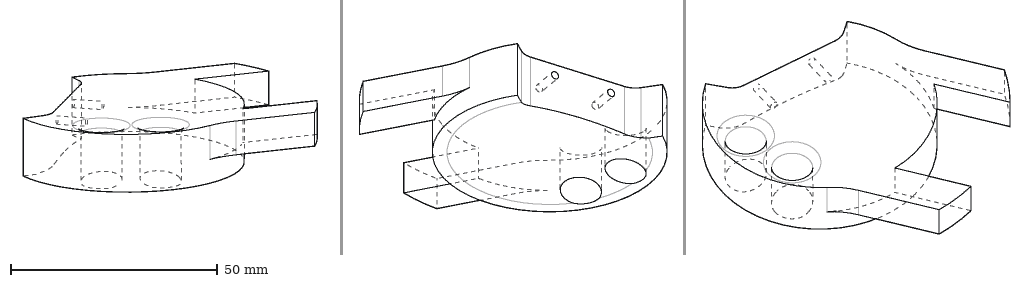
import cadquery as cq
import math

body_radius = 28.49
body_height = 14.5

arm_thickness = 8.5
arm_tip_radius = 46.2
arm_inner_offset = 14.95
arm_outer_offset = 24.9
arm_turn = -5.0
arm_blend_radius = 20.0

notch_reach_x = 22.9
notch_reach_y = 20.8
notch_corner_radius = 5.0

bore_diameter = 10.0
bore_rim_radius = 2.0
bore_circle_radius = 21.05
bore_angles = (-5.0, -45.0)

pin_diameter = 2.0
pin_spacing = 16.0
pin_depth_below_top = 3.0
pin_hole_depth = 7.3

hollow_rim_radius = 24.9
hollow_depth = 2.85

overcut = 0.7


def make_arm(side):
    """One arm with its concave blend into the disc; side is -1 or +1 along X."""
    blend_x = arm_outer_offset + arm_blend_radius
    blend_distance = body_radius + arm_blend_radius
    blend_y = math.sqrt(blend_distance**2 - blend_x**2)
    disc_share = body_radius / blend_distance
    disc_point = (side * blend_x * disc_share, blend_y * disc_share)

    middle_angle = math.pi + math.atan2(blend_y, blend_x) / 2
    blend_middle = (
        side * (blend_x + arm_blend_radius * math.cos(middle_angle)),
        blend_y + arm_blend_radius * math.sin(middle_angle),
    )
    tip_outer_y = math.sqrt(arm_tip_radius**2 - arm_outer_offset**2)
    tip_inner_y = math.sqrt(arm_tip_radius**2 - arm_inner_offset**2)
    outer_angle = math.atan2(tip_outer_y, arm_outer_offset)
    inner_angle = math.atan2(tip_inner_y, arm_inner_offset)
    tip_angle = (outer_angle + inner_angle) / 2
    tip_middle = (
        side * arm_tip_radius * math.cos(tip_angle),
        arm_tip_radius * math.sin(tip_angle),
    )
    return (
        cq.Workplane("XY", origin=(0, 0, body_height - arm_thickness))
        .moveTo(*disc_point)
        .threePointArc(blend_middle, (side * arm_outer_offset, blend_y))
        .lineTo(side * arm_outer_offset, tip_outer_y)
        .threePointArc(tip_middle, (side * arm_inner_offset, tip_inner_y))
        .lineTo(side * arm_inner_offset, disc_point[1])
        .close()
        .extrude(arm_thickness)
        .rotate((0, 0, 0), (0, 0, 1), arm_turn)
    )


def make_notch():
    """Cutter whose oblique face meets the two axis-aligned faces in rounded corners."""
    outside = -(body_radius + overcut)
    return (
        cq.Workplane("XY")
        .polyline([(outside, 0), (-notch_reach_x, 0), (0, -notch_reach_y), (0, outside), (outside, outside)])
        .close()
        .extrude(body_height)
        .edges(cq.selectors.BoxSelector(
            (-notch_reach_x - overcut, -notch_reach_y - overcut, 0),
            (overcut, overcut, body_height),
        ))
        .edges("|Z")
        .fillet(notch_corner_radius)
    )


def make_bore(angle):
    """Through bore that flares at the top along a quarter-round rim."""
    radius = bore_diameter / 2
    rim_bottom = body_height - bore_rim_radius
    arc_offset = bore_rim_radius * math.sqrt(0.5)
    rim_outer = radius + bore_rim_radius
    profile = (
        cq.Workplane("XZ")
        .moveTo(0, 0)
        .lineTo(radius, 0)
        .lineTo(radius, rim_bottom)
        .threePointArc((rim_outer - arc_offset, rim_bottom + arc_offset), (rim_outer, body_height))
        .lineTo(0, body_height)
        .close()
    )
    bore = profile.revolve(360, (0, 0, 0), (0, 1, 0))
    return bore.translate((bore_circle_radius, 0, 0)).rotate((0, 0, 0), (0, 0, 1), angle)


def make_pin_holes():
    """Two blind holes, centred on the foot of the perpendicular from the disc axis."""
    flat_length = math.hypot(notch_reach_x, notch_reach_y)
    along = cq.Vector(notch_reach_x, -notch_reach_y, 0) / flat_length
    inward = cq.Vector(notch_reach_y, notch_reach_x, 0) / flat_length
    flat_distance = notch_reach_x * notch_reach_y / flat_length
    middle = inward * -flat_distance + cq.Vector(0, 0, body_height - pin_depth_below_top)
    holes = cq.Workplane("XY")
    for side in (-1, 1):
        start = middle + along * (side * pin_spacing / 2) - inward * overcut
        holes = holes.add(cq.Solid.makeCylinder(pin_diameter / 2, pin_hole_depth + overcut, start, inward))
    return holes.combine()


def make_hollow():
    """Sphere that leaves a cap-shaped hollow of the given rim radius and depth."""
    sphere_radius = (hollow_rim_radius**2 + hollow_depth**2) / (2 * hollow_depth)
    return cq.Workplane("XY").sphere(sphere_radius).translate((0, 0, hollow_depth - sphere_radius))


result = cq.Workplane("XY").circle(body_radius).extrude(body_height)
for arm_side in (-1, 1):
    result = result.union(make_arm(arm_side))
result = result.cut(make_notch())
for bore_angle in bore_angles:
    result = result.cut(make_bore(bore_angle))
result = result.cut(make_pin_holes()).cut(make_hollow())